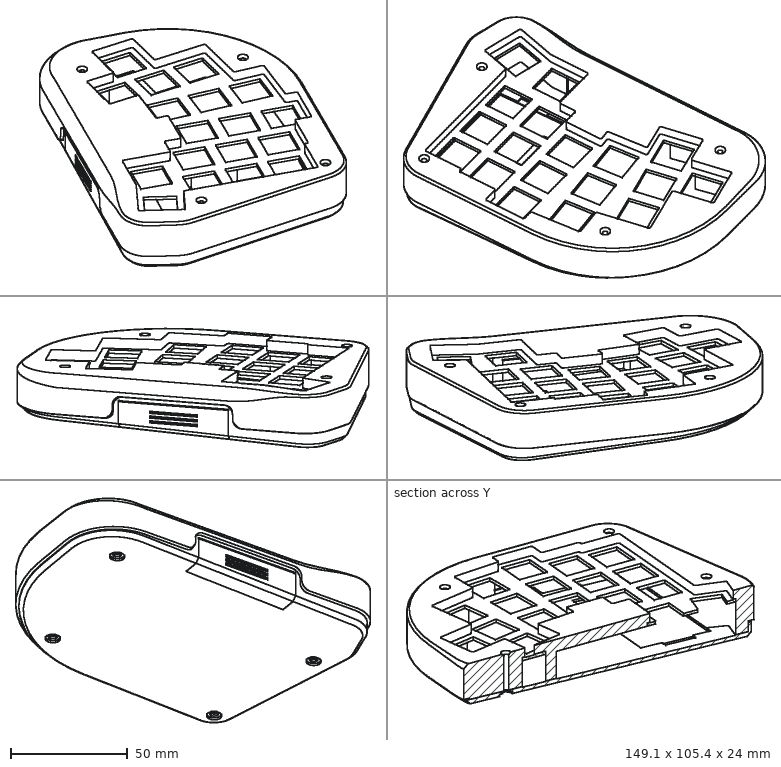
import cadquery as cq
import math

LENGTH = 149.0
DEPTH = 105.4
HEIGHT = 24.0
LEFT = -LENGTH / 2
FRONT = -DEPTH / 2
BACK = DEPTH / 2
TOP = HEIGHT / 2

FRONT_RIGHT_X = 68.5
SIDE_CORNER = (75.0, -28.2)
BACK_RIGHT_X = 56.5
FRONT_LEFT_RADIUS = 25.0
FRONT_RIGHT_RADIUS = 12.8
SIDE_RADIUS = 14.8
BACK_RIGHT_RADIUS = 13.7
BACK_LEFT_RADIUS = 60.2

EDGE_BEVEL = 1.0
SIDE_BEVEL = 1.5
FRONT_BEVEL = 5.0
BEVEL_FADE_START = 29.8
BEVEL_FADE_END = 58.7
BEVEL_STEPS = 8
BEVEL_OVERCUT = 0.7

SEAM_GAP = 0.5
RIM_TOP = -5.2
CASE_INSET = 1.3
WALL = 1.5
CASE_CHAMFER = 2.0

TILT = 1.8
FLOOR = 2.1
LOW_POINT_X = 71.1
BOTTOM_MID = -TOP + LOW_POINT_X * math.tan(math.radians(TILT))

PITCH = 19.1
KEY_HOLE = 14.2
KEY_MARGIN = 3.0
HALF_TILE = KEY_HOLE / 2 + KEY_MARGIN
OPENING_RADIUS = 0.7
PLATE_DROP = 4.5
PLATE_THICKNESS = 1.5
PLATE_TOP = TOP - PLATE_DROP
PLATE_BOTTOM = PLATE_TOP - PLATE_THICKNESS

TAB_X = 3.1
TAB_HALF_WIDTH = 27.3
TAB_TOP = 4.6
TAB_RADIUS = 4.0
PANEL_HALF_WIDTH = 24.9
PANEL_TOP = 2.5
PANEL_BACK = -41.7
VENT_LENGTH = 21.5
VENT_HEIGHT = 0.9
VENT_DEPTH = 1.5
VENT_PITCH = 2.1
VENT_COUNT = 3
VENT_MID_Z = -3.1

SCREW_POINTS = [(-39.8, 34.3), (48.7, 43.0), (60.4, -16.5), (-52.0, -34.0)]
SCREW_BORE = 2.2
COUNTERSINK = 4.5
CLEARANCE_BORE = 3.7
HEAD_BORE = 6.4
HEAD_DEPTH = 1.0

RECESS_LEFT = 21.6
RECESS_LENGTH = 35.3
RECESS_FRONT = -25.3
RECESS_WIDTH = 54.9
RECESS_DEPTH = 1.0
RECESS_RIGHT = RECESS_LEFT + RECESS_LENGTH
RECESS_BACK = RECESS_FRONT + RECESS_WIDTH
NOTCH_LEFT = 32.5
NOTCH_LENGTH = 15.4
NOTCH_WIDTH = 2.7
NOTCH_DEPTH = 0.6

BAR_LEFT = 19.5
BAR_THICKNESS = 2.8
BAR_WIDTH = 20.1
BAR_Y = 1.8
BAR_HEIGHT = 8.2
BAR_RADIUS = 0.6

PLATE_LEDGE = 1.2
BAY_RADIUS = 1.0
BATTERY_BAY_BACK = 28.3
PANEL_BAY_HALF_WIDTH = 29.8
PANEL_BAY_BACK = -9.0

BIG = 298.1


def box(x0, x1, y0, y1, z0, z1):
    return cq.Workplane("XY").box(x1 - x0, y1 - y0, z1 - z0, centered=False).translate((x0, y0, z0))


def body_outline(inset, z0, z1):
    """Prism of the rounded body outline, moved inward by `inset`."""
    corners = [
        ((LEFT, FRONT), FRONT_LEFT_RADIUS),
        ((FRONT_RIGHT_X, FRONT), FRONT_RIGHT_RADIUS),
        (SIDE_CORNER, SIDE_RADIUS),
        ((BACK_RIGHT_X, BACK), BACK_RIGHT_RADIUS),
        ((LEFT, BACK), BACK_LEFT_RADIUS),
    ]
    prism = cq.Workplane("XY").polyline([point for point, _ in corners]).close().extrude(z1 - z0)
    for (x, y), radius in corners:
        corner = cq.selectors.NearestToPointSelector((x, y, (z1 - z0) / 2))
        prism = prism.edges("|Z").edges(corner).fillet(radius)
    if inset:
        wire = prism.faces("<Z").wires().val().offset2D(-inset)[0]
        prism = cq.Workplane("XY").newObject([wire]).toPending().extrude(z1 - z0)
    return prism.translate((0, 0, z0))


def above_slope(height):
    """Half space above the sloping plane that crosses x = 0 at `height`."""
    block = cq.Workplane("XY").box(BIG, BIG, BIG, centered=(True, True, False))
    return block.rotate((0, 0, 0), (0, 1, 0), TILT).translate((0, 0, height))


def turn(x, y, angle):
    a = math.radians(angle)
    return (x * math.cos(a) - y * math.sin(a), x * math.sin(a) + y * math.cos(a))


def key(x, y, angle=0.0, across=0.0, along=0.0):
    """Key centre and turn, shifted `across` and `along` in its own turned frame."""
    dx, dy = turn(across, along, angle)
    return (x + dx, y + dy, angle)


def column(x, y, angle=0.0):
    """Three keys of a column from back to front, around the middle key."""
    return [key(x, y, angle, along=step * PITCH) for step in (1, 0, -1)]


OUTER_COLUMN = [key(-38.6, -4.5, 12.0, across=-PITCH, along=-5.7)]
PINKY_COLUMN = column(-38.6, -4.5, 12.0)
RING_COLUMN = column(-18.6, 12.7, 5.0)
MIDDLE_COLUMN = column(3.0, 19.1)
INDEX_COLUMN = column(22.0, 11.5)
INNER_COLUMN = column(41.1, 9.7)
THUMB_KEY = key(30.7, -29.4)
TURNED_THUMB_KEY = key(52.8, -32.3, -15.0)
KEYS = [
    *OUTER_COLUMN,
    *PINKY_COLUMN,
    *RING_COLUMN,
    *MIDDLE_COLUMN,
    *INDEX_COLUMN,
    *INNER_COLUMN,
    THUMB_KEY,
    TURNED_THUMB_KEY,
]


def tile_corner(tile, side, end):
    """Corner of a key tile; `side` is -1 left or 1 right, `end` is -1 front or 1 back."""
    x, y, _ = key(*tile, across=side * HALF_TILE, along=end * HALF_TILE)
    return (x, y)


def meet(corner_a, angle_a, corner_b, angle_b):
    """Crossing of two tile edge lines, each through a tile corner at the given angle."""
    ax, ay = corner_a
    bx, by = corner_b
    a, b = math.radians(angle_a), math.radians(angle_b)
    reach = ((bx - ax) * math.sin(b) - (by - ay) * math.cos(b)) / math.sin(b - a)
    return (ax + reach * math.cos(a), ay + reach * math.sin(a))


def edge_crossing(cross_tile, end, side_tile, side):
    """Where the front or back edge line of one tile meets the left or right edge line of another."""
    return meet(
        tile_corner(cross_tile, side, end),
        cross_tile[2],
        tile_corner(side_tile, side, end),
        side_tile[2] + 90,
    )


def key_opening(grow, z0, z1):
    """Prism of the stepped outline around all key tiles, moved outward by `grow`."""
    outer = OUTER_COLUMN[0]
    pinky_back, _, pinky_front = PINKY_COLUMN
    ring_back, _, ring_front = RING_COLUMN
    middle_back, _, middle_front = MIDDLE_COLUMN
    index_back, _, index_front = INDEX_COLUMN
    inner_back = INNER_COLUMN[0]
    points = [
        tile_corner(outer, -1, 1),
        edge_crossing(outer, 1, pinky_back, -1),
        tile_corner(pinky_back, -1, 1),
        edge_crossing(pinky_back, 1, ring_back, -1),
        tile_corner(ring_back, -1, 1),
        edge_crossing(ring_back, 1, middle_back, -1),
        tile_corner(middle_back, -1, 1),
        tile_corner(middle_back, 1, 1),
        edge_crossing(index_back, 1, middle_back, 1),
        tile_corner(index_back, 1, 1),
        edge_crossing(inner_back, 1, index_back, 1),
        tile_corner(inner_back, 1, 1),
        edge_crossing(TURNED_THUMB_KEY, 1, inner_back, 1),
        tile_corner(TURNED_THUMB_KEY, 1, 1),
        tile_corner(TURNED_THUMB_KEY, 1, -1),
        tile_corner(TURNED_THUMB_KEY, -1, -1),
        tile_corner(THUMB_KEY, -1, -1),
        edge_crossing(index_front, -1, THUMB_KEY, -1),
        tile_corner(index_front, -1, -1),
        edge_crossing(middle_front, -1, index_front, -1),
        edge_crossing(middle_front, -1, ring_front, 1),
        tile_corner(ring_front, 1, -1),
        edge_crossing(ring_front, -1, pinky_front, 1),
        tile_corner(pinky_front, 1, -1),
        tile_corner(pinky_front, -1, -1),
        edge_crossing(outer, -1, pinky_front, -1),
        tile_corner(outer, -1, -1),
    ]
    outline = cq.Workplane("XY").polyline(points).close()
    if grow:
        outline = outline.offset2D(grow, "intersection")
    prism = outline.extrude(z1 - z0).edges("|Z").fillet(OPENING_RADIUS)
    return prism.translate((0, 0, z0))


def tab_prism(lift):
    """Arched front tab, with outward flares at its foot, through the thickness of the case wall."""
    r = TAB_RADIUS
    foot, top = RIM_TOP + lift, TAB_TOP + lift
    left, right = TAB_X - TAB_HALF_WIDTH, TAB_X + TAB_HALF_WIDTH
    profile = (
        cq.Workplane("XZ", origin=(0, FRONT, 0))
        .moveTo(left - r, foot)
        .radiusArc((left, foot + r), -r)
        .lineTo(left, top - r)
        .radiusArc((left + r, top), r)
        .lineTo(right - r, top)
        .radiusArc((right, top - r), r)
        .lineTo(right, foot + r)
        .radiusArc((right + r, foot), -r)
        .close()
    )
    return profile.extrude(-(CASE_INSET + WALL))


def panel_slot(top):
    return box(TAB_X - PANEL_HALF_WIDTH, TAB_X + PANEL_HALF_WIDTH, FRONT, PANEL_BACK, -BIG / 2, top)


def bevel_section(x, y, outward, width):
    """Triangle across the top edge at an outline point whose outward normal has the given angle."""
    nx, ny = math.cos(math.radians(outward)), math.sin(math.radians(outward))
    e = BEVEL_OVERCUT
    corners = [(-width - e, e), (e, -width - e), (e, e)]
    return cq.Wire.makePolygon(
        [cq.Vector(x + out * nx, y + out * ny, TOP + up) for out, up in corners], close=True
    )


def bevel_cutters():
    """Bevel that widens along the left side and corner, runs along the front, then fades out."""
    arc_x, arc_y = LEFT + FRONT_LEFT_RADIUS, FRONT + FRONT_LEFT_RADIUS
    side = [
        bevel_section(LEFT, BACK - BACK_LEFT_RADIUS, 180, EDGE_BEVEL),
        bevel_section(LEFT, arc_y, 180, SIDE_BEVEL),
    ]
    corner = []
    fade = []
    for step in range(BEVEL_STEPS + 1):
        t = step / BEVEL_STEPS
        angle = 180 + 90 * t
        dx, dy = turn(FRONT_LEFT_RADIUS, 0, angle)
        width = SIDE_BEVEL + (FRONT_BEVEL - SIDE_BEVEL) * t
        corner.append(bevel_section(arc_x + dx, arc_y + dy, angle, width))
        x = BEVEL_FADE_START + (BEVEL_FADE_END - BEVEL_FADE_START) * t
        width = EDGE_BEVEL + (FRONT_BEVEL - EDGE_BEVEL) * (1 + math.cos(math.pi * t)) / 2
        fade.append(bevel_section(x, FRONT, 270, width))
    return [
        cq.Solid.makeLoft(side, True),
        cq.Solid.makeLoft(corner),
        cq.Solid.makeLoft([corner[-1], fade[0]], True),
        cq.Solid.makeLoft(fade),
    ]


def screw_holes(diameter):
    bores = cq.Workplane("XY").workplane(offset=-BIG / 2).pushPoints(SCREW_POINTS)
    return bores.circle(diameter / 2).extrude(BIG)


def housing_hollow():
    """Space under the switch plate, with side bays for the battery and behind the vent panel."""
    battery_bay = box(RECESS_LEFT, RECESS_RIGHT, RECESS_FRONT, BATTERY_BAY_BACK, -TOP, PLATE_BOTTOM)
    battery_bay = battery_bay.edges("|Z").fillet(BAY_RADIUS)
    bay_left, bay_right = TAB_X - PANEL_BAY_HALF_WIDTH, TAB_X + PANEL_BAY_HALF_WIDTH
    panel_bay = box(bay_left, bay_right, PANEL_BACK, PANEL_BAY_BACK, -TOP, PLATE_BOTTOM)
    hollow = key_opening(PLATE_LEDGE, -TOP, PLATE_BOTTOM).union(battery_bay)
    inner_x, _ = tile_corner(INNER_COLUMN[0], 1, 1)
    thumb_x, thumb_y = edge_crossing(TURNED_THUMB_KEY, 1, INNER_COLUMN[0], 1)
    bay_reach = RECESS_RIGHT - thumb_x
    thumb_y += bay_reach * math.tan(math.radians(TURNED_THUMB_KEY[2]))
    for x, y in [(inner_x + PLATE_LEDGE, BATTERY_BAY_BACK), (RECESS_RIGHT, thumb_y + PLATE_LEDGE)]:
        step = cq.selectors.NearestToPointSelector((x, y, (PLATE_BOTTOM - TOP) / 2))
        hollow = hollow.edges("|Z").edges(step).fillet(BAY_RADIUS)
    return hollow.union(panel_bay)


def make_housing():
    shell = body_outline(0, RIM_TOP + SEAM_GAP, TOP)
    shell = shell.faces(">Z").edges().chamfer(EDGE_BEVEL)
    for cutter in bevel_cutters():
        shell = shell.cut(cq.Workplane(cutter))
    core = body_outline(CASE_INSET + WALL, -TOP, 0).intersect(above_slope(BOTTOM_MID + FLOOR))
    housing = shell.union(core)
    housing = housing.cut(key_opening(0, PLATE_TOP, TOP))
    housing = housing.cut(key_opening(PLATE_LEDGE, PLATE_BOTTOM, PLATE_TOP)).cut(housing_hollow())
    housing = housing.cut(tab_prism(SEAM_GAP)).cut(panel_slot(PANEL_TOP + SEAM_GAP))
    return housing.faces(">Z").workplane(origin=(0, 0, 0)).pushPoints(SCREW_POINTS).cskHole(
        SCREW_BORE, COUNTERSINK, 90
    )


def make_plate():
    plate = key_opening(PLATE_LEDGE, PLATE_BOTTOM, PLATE_TOP)
    for x, y, angle in KEYS:
        hole = cq.Workplane("XY").rect(KEY_HOLE, KEY_HOLE).extrude(TOP)
        hole = hole.rotate((0, 0, 0), (0, 0, 1), angle).translate((x, y, 0))
        plate = plate.cut(hole)
    return plate


def case_blank():
    """Outside of the case: chamfered sloping block with the front tab, not yet hollow."""
    block = body_outline(CASE_INSET, -BIG / 4, RIM_TOP).intersect(above_slope(BOTTOM_MID))
    block = block.faces("<Z").edges().chamfer(CASE_CHAMFER)
    front_clear = box(-BIG, BIG, FRONT + CASE_INSET, BACK, -BIG, BIG)
    return block.union(tab_prism(0).intersect(front_clear))


def make_case():
    floor_top = above_slope(BOTTOM_MID + FLOOR)
    cavity = body_outline(CASE_INSET + WALL, -BIG / 4, TOP).intersect(floor_top)
    case = case_blank().cut(cavity).cut(panel_slot(PANEL_TOP + SEAM_GAP))
    recess = box(RECESS_LEFT, RECESS_RIGHT, RECESS_FRONT, RECESS_BACK, -BIG / 4, 0)
    notch_right, notch_front = NOTCH_LEFT + NOTCH_LENGTH, RECESS_FRONT - NOTCH_WIDTH
    notch = box(NOTCH_LEFT, notch_right, notch_front, RECESS_FRONT, -BIG / 4, 0)
    case = case.cut(recess.intersect(above_slope(BOTTOM_MID + FLOOR - RECESS_DEPTH)))
    case = case.cut(notch.intersect(above_slope(BOTTOM_MID + FLOOR - NOTCH_DEPTH)))
    case = case.cut(make_bar())
    head_space = screw_holes(HEAD_BORE).cut(above_slope(BOTTOM_MID + HEAD_DEPTH))
    return case.cut(screw_holes(CLEARANCE_BORE)).cut(head_space)


def make_bar():
    """Bar with rounded upright edges, leaning with the slope of the floor."""
    bar = cq.Workplane("XY").box(BAR_THICKNESS, BAR_WIDTH, BAR_HEIGHT, centered=(False, True, False))
    bar = bar.edges("|Z").fillet(BAR_RADIUS).rotate((0, 0, 0), (0, 1, 0), TILT)
    foot = BOTTOM_MID + FLOOR - RECESS_DEPTH - BAR_LEFT * math.tan(math.radians(TILT))
    return bar.translate((BAR_LEFT, BAR_Y, foot))


def make_panel():
    slot = panel_slot(PANEL_TOP)
    fill = box(-BIG, BIG, FRONT + CASE_INSET, BACK, RIM_TOP, PANEL_TOP)
    panel = case_blank().union(fill.intersect(slot)).intersect(slot)
    face = FRONT + CASE_INSET
    for index in range(VENT_COUNT):
        z = VENT_MID_Z + (index - (VENT_COUNT - 1) / 2) * VENT_PITCH
        half = VENT_HEIGHT / 2
        panel = panel.cut(
            box(TAB_X - VENT_LENGTH / 2, TAB_X + VENT_LENGTH / 2, face, face + VENT_DEPTH, z - half, z + half)
        )
    return panel


housing = make_housing()
plate = make_plate()
case = make_case()
panel = make_panel()
bar = make_bar()
bodies = [housing, plate, case, panel, bar]
result = cq.Compound.makeCompound([body.solids().val() for body in bodies])